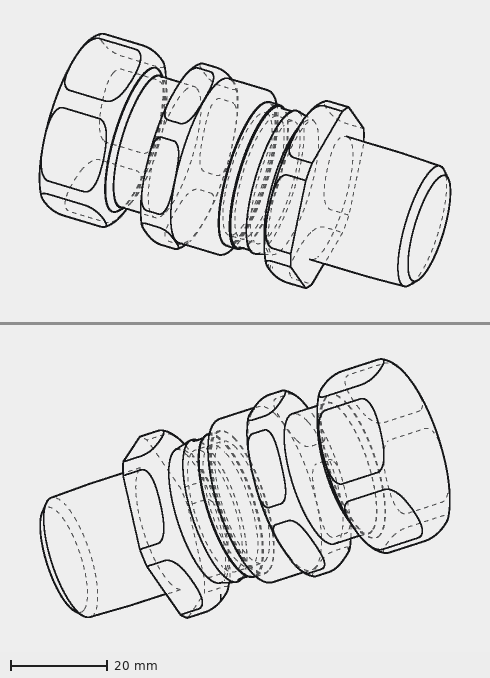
import cadquery as cq
import math

OVERALL_LENGTH = 80.45

HEX_ACROSS_FLATS = 36.0
HEX_CORNER_DIAMETER = 39.5

CAP_LENGTH = 14.0
CAP_ROUND = 3.0
LIP_DIAMETER = 31.2
LIP_LAND = 0.15
LIP_CHAMFER = 1.25

SLEEVE_DIAMETER = 28.4

BODY_HEX_START = 23.1
BODY_HEX_LENGTH = 6.65
BODY_HEX_ROUND = 2.0
BARREL_DIAMETER = 35.7
BARREL_END = 39.1
BARREL_EDGE_ROUND = 0.6
BARREL_NECK_DIAMETER = 31.0
BARREL_NECK_FILLET = 0.4

SPIGOT_DIAMETER = 26.6
WASHER_DIAMETER = 31.2
WASHER_LENGTH = 2.7
WASHER_CHAMFER = 0.2
RING_DIAMETER = 31.0
RING_GROOVE_DIAMETER = 30.2
RING_LENGTH = 3.55

SHOULDER_LAND = 0.25
SHOULDER_TAPER_LENGTH = 3.4
SHOULDER_END_DIAMETER = 29.2
ENTRY_HEX_START = 50.7
ENTRY_HEX_END = 57.5
ENTRY_HEX_ROUND = 2.7
THREAD_DIAMETER = 26.67
THREAD_ROOT_FILLET = 0.4
TAPER_START = 70.1
TAPER_END_DIAMETER = 26.1
TIP_CHAMFER = 1.6

lip_end = CAP_LENGTH + LIP_LAND + LIP_CHAMFER
washer_start = BARREL_END + BARREL_NECK_FILLET
ring_start = washer_start + WASHER_LENGTH
ring_end = ring_start + RING_LENGTH


def cylinder(start, end, diameter):
    """Solid cylinder on the X axis between two X positions."""
    return cq.Workplane("YZ", origin=(start, 0, 0)).circle(diameter / 2).extrude(end - start)


def turned(outline):
    """Solid of revolution about X from an open outline that starts and ends on the axis."""
    return outline.close().revolve(360, (0, 0, 0), (1, 0, 0))


def hexagon(start, end, front_round=None, back_round=None):
    """Hexagon with its corners turned to a cylinder whose end edges may be rounded."""
    corner_to_corner = HEX_ACROSS_FLATS / math.cos(math.pi / 6)
    prism = cq.Workplane("YZ", origin=(start, 0, 0)).polygon(6, corner_to_corner).extrude(end - start)
    envelope = cylinder(start, end, HEX_CORNER_DIAMETER)
    if front_round:
        envelope = envelope.faces("<X").edges().fillet(front_round)
    if back_round:
        envelope = envelope.faces(">X").edges().fillet(back_round)
    return prism.intersect(envelope)


def make_cap_nut():
    """Closed hexagon nut with a chamfered lip at its open end."""
    head = hexagon(0, CAP_LENGTH, CAP_ROUND, CAP_ROUND)
    lip = cylinder(CAP_LENGTH, lip_end, LIP_DIAMETER).faces(">X").edges().chamfer(LIP_CHAMFER)
    return head.union(lip)


def make_sleeve():
    """Plain cylinder that joins the cap nut to the body nut."""
    return cylinder(lip_end, BODY_HEX_START, SLEEVE_DIAMETER)


def make_body_nut():
    """Hexagon with a round barrel that steps down to a short filleted neck."""
    hex_end = BODY_HEX_START + BODY_HEX_LENGTH
    barrel_start = BODY_HEX_START + BODY_HEX_LENGTH / 2
    barrel_radius = BARREL_DIAMETER / 2
    neck_radius = BARREL_NECK_DIAMETER / 2
    head = hexagon(BODY_HEX_START, hex_end, BODY_HEX_ROUND, BODY_HEX_ROUND)
    barrel = turned(
        cq.Workplane("XY")
        .moveTo(barrel_start, 0)
        .lineTo(barrel_start, barrel_radius)
        .lineTo(BARREL_END - BARREL_EDGE_ROUND, barrel_radius)
        .radiusArc((BARREL_END, barrel_radius - BARREL_EDGE_ROUND), BARREL_EDGE_ROUND)
        .lineTo(BARREL_END, neck_radius + BARREL_NECK_FILLET)
        .radiusArc((washer_start, neck_radius), -BARREL_NECK_FILLET)
        .lineTo(washer_start, 0)
    )
    return head.union(barrel)


def make_washer():
    """Flat ring with chamfered outer edges."""
    disc = cylinder(washer_start, ring_start, WASHER_DIAMETER)
    disc = disc.edges().chamfer(WASHER_CHAMFER)
    return disc.cut(cylinder(washer_start, ring_start, SPIGOT_DIAMETER))


def make_grooved_ring():
    """Ring with a wide outer groove whose two ends sweep up in fillets."""
    rim_radius = RING_DIAMETER / 2
    groove_radius = RING_GROOVE_DIAMETER / 2
    fillet = rim_radius - groove_radius
    ring = turned(
        cq.Workplane("XY")
        .moveTo(ring_start, 0)
        .lineTo(ring_start, rim_radius)
        .radiusArc((ring_start + fillet, groove_radius), -fillet)
        .lineTo(ring_end - fillet, groove_radius)
        .radiusArc((ring_end, rim_radius), -fillet)
        .lineTo(ring_end, 0)
    )
    return ring.cut(cylinder(ring_start, ring_end, SPIGOT_DIAMETER))


def make_entry_fitting():
    """Spigot, tapered shoulder, hexagon and tapered thread blank in one piece."""
    spigot_radius = SPIGOT_DIAMETER / 2
    shoulder_radius = RING_DIAMETER / 2
    shoulder_end_radius = SHOULDER_END_DIAMETER / 2
    thread_radius = THREAD_DIAMETER / 2
    taper_end_radius = TAPER_END_DIAMETER / 2
    taper_start = ring_end + SHOULDER_LAND
    shoulder_end = taper_start + SHOULDER_TAPER_LENGTH
    shoulder_fillet = ENTRY_HEX_START - shoulder_end
    shaft = turned(
        cq.Workplane("XY")
        .moveTo(washer_start, 0)
        .lineTo(washer_start, spigot_radius)
        .lineTo(ring_end, spigot_radius)
        .lineTo(ring_end, shoulder_radius)
        .lineTo(taper_start, shoulder_radius)
        .lineTo(shoulder_end, shoulder_end_radius)
        .radiusArc((ENTRY_HEX_START, shoulder_end_radius + shoulder_fillet), -shoulder_fillet)
        .lineTo(ENTRY_HEX_END, thread_radius + THREAD_ROOT_FILLET)
        .radiusArc((ENTRY_HEX_END + THREAD_ROOT_FILLET, thread_radius), -THREAD_ROOT_FILLET)
        .lineTo(TAPER_START, thread_radius)
        .lineTo(OVERALL_LENGTH - TIP_CHAMFER, taper_end_radius)
        .lineTo(OVERALL_LENGTH, taper_end_radius - TIP_CHAMFER)
        .lineTo(OVERALL_LENGTH, 0)
    )
    return shaft.union(hexagon(ENTRY_HEX_START, ENTRY_HEX_END, ENTRY_HEX_ROUND))


result = cq.Compound.makeCompound([
    make_cap_nut().val(),
    make_sleeve().val(),
    make_body_nut().val(),
    make_washer().val(),
    make_grooved_ring().val(),
    make_entry_fitting().val(),
])